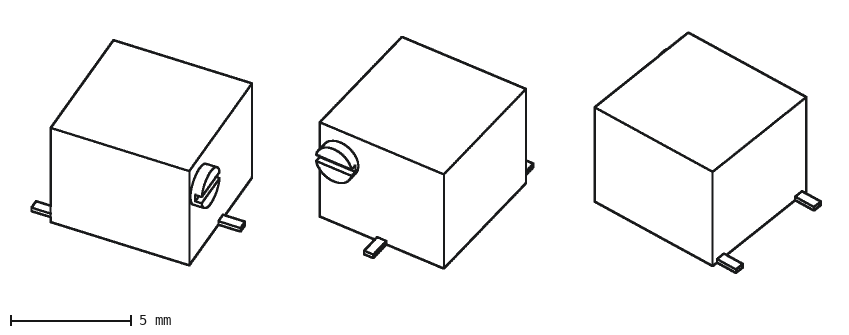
import cadquery as cq

overall_length = 8.39
body_width = 6.1
body_height = 5.21

lead_reach = 1.015
lead_width = 0.45
lead_thickness = 0.2
lead_pitch = 5.085

screw_diameter = 1.78
screw_reach = 0.5
screw_y = -2.04
screw_z = 3.68
slot_width = 0.34
slot_depth = 0.29

body_length = overall_length - 2 * lead_reach
body_end = body_length / 2


def make_lead(side, y):
    """Lead standing out of the end face on the given side (-1 or +1)."""
    x = side * (body_end + lead_reach / 2)
    return (
        cq.Workplane("XY")
        .box(lead_reach, lead_width, lead_thickness, centered=(True, True, False))
        .translate((x, y, 0))
    )


def make_screw():
    """Screw head with a driver slot running along Y."""
    head = (
        cq.Workplane("YZ", origin=(body_end, screw_y, screw_z))
        .circle(screw_diameter / 2)
        .extrude(screw_reach)
    )
    slot = (
        cq.Workplane("XY")
        .box(slot_depth, screw_diameter, slot_width)
        .translate((body_end + screw_reach - slot_depth / 2, screw_y, screw_z))
    )
    return head.cut(slot)


result = cq.Workplane("XY").box(
    body_length, body_width, body_height, centered=(True, True, False)
)
for side, y in ((-1, lead_pitch / 2), (-1, -lead_pitch / 2), (1, 0)):
    result = result.union(make_lead(side, y))
result = result.union(make_screw())